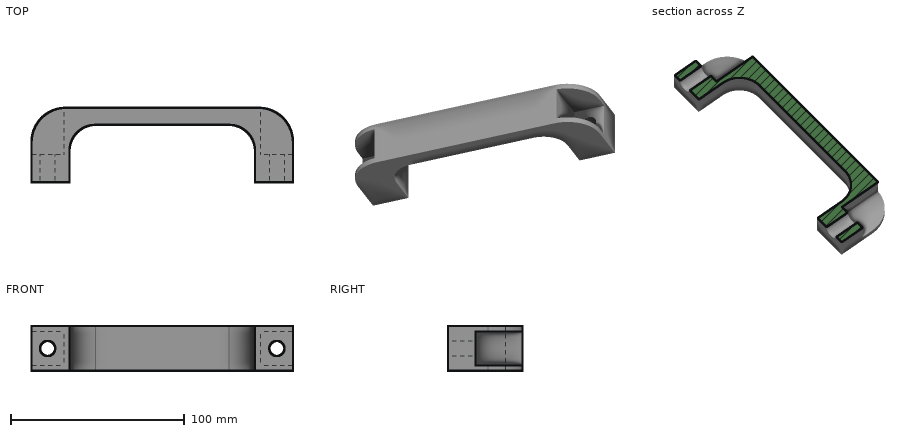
import cadquery as cq

length = 151.0
depth = 43.0
height = 26.0

leg_width = 22.0
grip_thickness = 10.0
outer_radius = 20.0
inner_radius = 15.0

pocket_height = 19.6
pocket_width = 18.7
foot_thickness = 16.0

hole_diameter = 8.6
hole_inset = pocket_width / 2


def handle_body():
    """U-shaped bar with rounded corners; the feet stand on Y = 0."""
    outer = (
        cq.Workplane("XY")
        .box(length, depth, height, centered=(True, False, True))
        .edges("|Z and >Y")
        .fillet(outer_radius)
    )
    opening = (
        cq.Workplane("XY")
        .box(length - 2 * leg_width, depth - grip_thickness, height, centered=(True, False, True))
        .edges("|Z and >Y")
        .fillet(inner_radius)
    )
    return outer.cut(opening)


def corner_pocket(side):
    """Rectangular pocket behind one foot; side is -1 or 1 along X."""
    pocket_depth = depth - foot_thickness
    return (
        cq.Workplane("XY")
        .box(pocket_width, pocket_depth, pocket_height, centered=(True, False, True))
        .translate((side * (length - pocket_width) / 2, foot_thickness, 0))
    )


def screw_hole(side):
    """Hole along Y from the foot face into the pocket."""
    return (
        cq.Workplane("XZ")
        .center(side * (length / 2 - hole_inset), 0)
        .circle(hole_diameter / 2)
        .extrude(-foot_thickness)
    )


result = handle_body()
for side in (-1, 1):
    result = result.cut(corner_pocket(side)).cut(screw_hole(side))